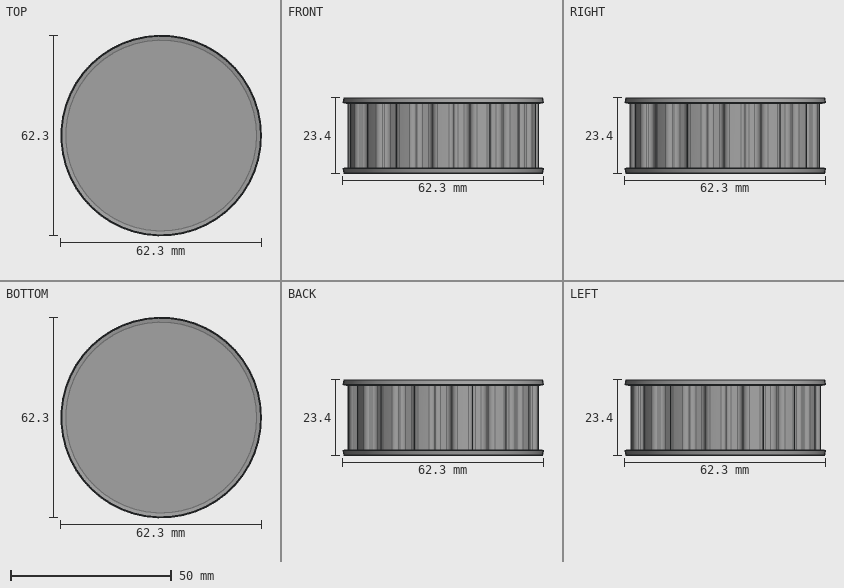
import cadquery as cq
import math


outer_diameter = 62.3
total_height = 23.4

tooth_count = 15
tooth_tip_diameter = 59.3
groove_depth = 3.05
groove_floor_width = 4.2
groove_side_angle = 20.0
groove_floor_fillet = 1.6
tooth_tip_fillet = 1.6
corner_tolerance = 0.005
tooth_pitch_angle = 360.0 / tooth_count
first_tooth_angle = -90.0

flange_thickness = 1.5
flange_bend_angle = 10.0
bend_radius_inside = 29.75

tip_radius = tooth_tip_diameter / 2
flange_radius = outer_diameter / 2
bend = math.radians(flange_bend_angle)

bend_radius_outside = bend_radius_inside - flange_thickness * math.tan(bend / 2)
edge_rise = (flange_radius - bend_radius_inside) * math.tan(bend)
rim_height = flange_thickness * math.cos(bend)
rim_inset = flange_thickness * math.sin(bend)
flange_inner_z = total_height / 2 - edge_rise - rim_height


def make_groove_cutter():
    """Trapezoidal groove with rounded floor corners, on the +X axis, over the full tooth width."""
    floor_radius = tip_radius - groove_depth
    mouth_radius = tip_radius + groove_depth
    side_slope = math.tan(math.radians(groove_side_angle))
    floor_half = groove_floor_width / 2
    mouth_half = floor_half + (mouth_radius - floor_radius) * side_slope
    outline = [
        (floor_radius, -floor_half),
        (mouth_radius, -mouth_half),
        (mouth_radius, mouth_half),
        (floor_radius, floor_half),
    ]
    return (
        cq.Workplane("XY")
        .workplane(offset=-flange_inner_z)
        .polyline(outline)
        .close()
        .extrude(2 * flange_inner_z)
        .edges("|Z and <X")
        .fillet(groove_floor_fillet)
    )


def make_toothed_rim():
    rim = cq.Workplane("XY").circle(tip_radius).extrude(flange_inner_z, both=True)
    groove = make_groove_cutter()
    for index in range(tooth_count):
        angle = first_tooth_angle + (index + 0.5) * tooth_pitch_angle
        rim = rim.cut(groove.rotate((0, 0, 0), (0, 0, 1), angle))
    tip_corners = [
        edge
        for edge in rim.edges("|Z").vals()
        if math.hypot(edge.Center().x, edge.Center().y) > tip_radius - corner_tolerance
    ]
    return rim.newObject(tip_corners).fillet(tooth_tip_fillet)


def make_top_flange():
    profile = [
        (0, flange_inner_z),
        (bend_radius_inside, flange_inner_z),
        (flange_radius, flange_inner_z + edge_rise),
        (flange_radius - rim_inset, total_height / 2),
        (bend_radius_outside, flange_inner_z + flange_thickness),
        (0, flange_inner_z + flange_thickness),
    ]
    return cq.Workplane("XZ").polyline(profile).close().revolve(360, (0, 0, 0), (0, 1, 0))


top_flange = make_top_flange()
bottom_flange = top_flange.mirror("XY")
result = make_toothed_rim().union(top_flange).union(bottom_flange)